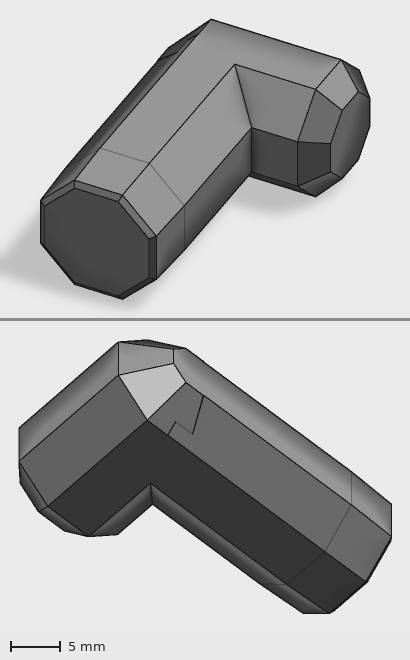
import cadquery as cq
import math

length_x = 21.3
length_y = 34.55
across_flats = 13.58
half_width = across_flats / 2
side_count = 8
half_side_angle = 180 / side_count

corner_taper_length = 4.0
corner_taper_inset = 3.9
arm_end_chamfer = 2.5

tip_length = 6.2
tip_inset = 0.2
tip_chamfer_length = 0.45
tip_chamfer_inset = 0.62

arm_start = -half_width
arm_end = arm_start + length_x
leg_end = length_y - half_width


def octagon(plane, distance, apothem):
    """Regular octagon with flats facing the plane axes, offset along its normal."""
    circumdiameter = 2 * apothem / math.cos(math.radians(half_side_angle))
    return (
        cq.Workplane(plane)
        .workplane(offset=distance)
        .transformed(rotate=(0, 0, half_side_angle))
        .polygon(side_count, circumdiameter)
    )


def octagonal_bar(plane, stations):
    """Join octagons given as (distance, apothem) pairs by flat-sided segments."""
    bar = cq.Workplane(plane)
    for (start, start_apothem), (end, end_apothem) in zip(stations, stations[1:]):
        wires = [
            octagon(plane, start, start_apothem).val(),
            octagon(plane, end, end_apothem).val(),
        ]
        bar = bar.union(cq.Workplane(cq.Solid.makeLoft(wires, True)))
    return bar


arm = octagonal_bar("YZ", [
    (arm_start, half_width - corner_taper_inset),
    (arm_start + corner_taper_length, half_width),
    (arm_end - arm_end_chamfer, half_width),
    (arm_end, half_width - arm_end_chamfer),
])

tip_apothem = half_width - tip_inset
leg = octagonal_bar("XZ", [
    (0, half_width),
    (leg_end - tip_length, half_width),
    (leg_end - tip_chamfer_length, tip_apothem),
    (leg_end, tip_apothem - tip_chamfer_inset),
])

result = arm.union(leg)